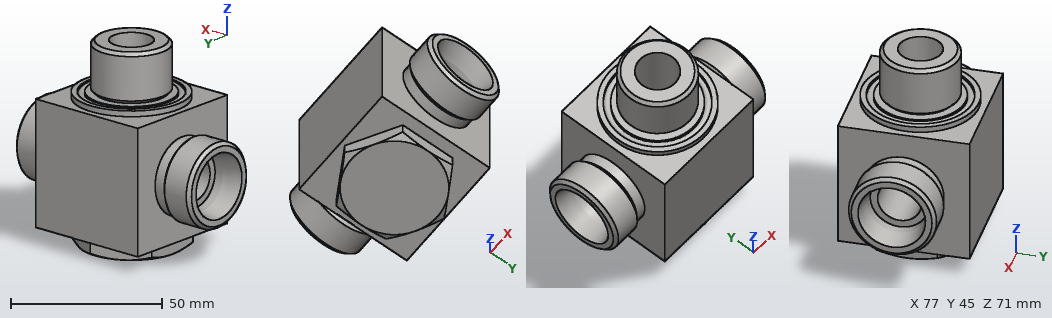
import cadquery as cq
import math

BODY_SIDE = 45.0
BORE_DIAMETER = 15.0

PORT_LENGTH = 16.0
PORT_DIAMETER = 30.0
PORT_NECK_DIAMETER = 27.55
PORT_NECK_LENGTH = 4.0
TUBE_DIAMETER = 20.0
TUBE_SEAT_DEPTH = 10.5
CONE_MOUTH_DIAMETER = 23.0
CONE_HALF_ANGLE = math.radians(12.0)

COLLAR_DIAMETER = 40.0
COLLAR_HEIGHT = 2.0
STUD_DIAMETER = 27.0
STUD_LENGTH = 18.0
THREAD_DEPTH = (PORT_DIAMETER - PORT_NECK_DIAMETER) / 2

SEAL_INNER_DIAMETER = 31.0
SEAL_OUTER_DIAMETER = 36.0

HEX_SIDES = 6
HEX_ACROSS_FLATS = 36.0
HEX_HEIGHT = 6.0
HEX_CHAMFER_ANGLE = math.radians(30.0)

HALF_BODY = BODY_SIDE / 2
COLLAR_TOP = HALF_BODY + COLLAR_HEIGHT
STUD_TOP = COLLAR_TOP + STUD_LENGTH
PORT_END = HALF_BODY + PORT_LENGTH
HEX_BOTTOM = -HALF_BODY - HEX_HEIGHT


def make_port():
    """Solid port sleeve on +X, chamfered at both ends of its thread."""
    thread_radius = PORT_DIAMETER / 2
    neck_radius = PORT_NECK_DIAMETER / 2
    neck_end = HALF_BODY + PORT_NECK_LENGTH
    return (
        cq.Workplane("XY")
        .moveTo(HALF_BODY, 0)
        .lineTo(HALF_BODY, neck_radius)
        .lineTo(neck_end, neck_radius)
        .lineTo(neck_end + THREAD_DEPTH, thread_radius)
        .lineTo(PORT_END - THREAD_DEPTH, thread_radius)
        .lineTo(PORT_END, neck_radius)
        .lineTo(PORT_END, 0)
        .close()
        .revolve(360, (0, 0, 0), (1, 0, 0))
    )


def make_tube_socket():
    """Cutter for the +X port: tapered mouth leading into the tube seat."""
    tube_radius = TUBE_DIAMETER / 2
    mouth_radius = CONE_MOUTH_DIAMETER / 2
    cone_depth = (mouth_radius - tube_radius) / math.tan(CONE_HALF_ANGLE)
    seat = PORT_END - TUBE_SEAT_DEPTH
    return (
        cq.Workplane("XY")
        .moveTo(seat, 0)
        .lineTo(seat, tube_radius)
        .lineTo(PORT_END - cone_depth, tube_radius)
        .lineTo(PORT_END, mouth_radius)
        .lineTo(PORT_END, 0)
        .close()
        .revolve(360, (0, 0, 0), (1, 0, 0))
    )


def make_stud():
    """Collar with the half-round seal in its face, and the chamfered stud."""
    stud_radius = STUD_DIAMETER / 2
    root_radius = stud_radius - THREAD_DEPTH
    seal_inner = SEAL_INNER_DIAMETER / 2
    seal_outer = SEAL_OUTER_DIAMETER / 2
    seal_middle = (seal_inner + seal_outer) / 2
    seal_radius = (seal_outer - seal_inner) / 2
    seal_foot = COLLAR_TOP - seal_radius
    return (
        cq.Workplane("XZ")
        .moveTo(0, HALF_BODY)
        .lineTo(COLLAR_DIAMETER / 2, HALF_BODY)
        .lineTo(COLLAR_DIAMETER / 2, COLLAR_TOP)
        .lineTo(seal_outer, COLLAR_TOP)
        .lineTo(seal_outer, seal_foot)
        .threePointArc((seal_middle, COLLAR_TOP), (seal_inner, seal_foot))
        .lineTo(seal_inner, COLLAR_TOP)
        .lineTo(root_radius, COLLAR_TOP)
        .lineTo(stud_radius, COLLAR_TOP + THREAD_DEPTH)
        .lineTo(stud_radius, STUD_TOP - THREAD_DEPTH)
        .lineTo(root_radius, STUD_TOP)
        .lineTo(0, STUD_TOP)
        .close()
        .revolve(360, (0, 0, 0), (0, 1, 0))
    )


def make_hex_head():
    """Hexagonal head whose lower corners are turned to a 30 degree cone."""
    face_radius = HEX_ACROSS_FLATS / 2
    corner_radius = face_radius / math.cos(math.pi / HEX_SIDES)
    chamfer_height = (corner_radius - face_radius) * math.tan(HEX_CHAMFER_ANGLE)
    prism = (
        cq.Workplane("XY", origin=(0, 0, HEX_BOTTOM))
        .polygon(HEX_SIDES, 2 * corner_radius)
        .extrude(HEX_HEIGHT)
        .rotate((0, 0, 0), (0, 0, 1), 90)
    )
    turned_blank = (
        cq.Workplane("XZ")
        .moveTo(0, HEX_BOTTOM)
        .lineTo(face_radius, HEX_BOTTOM)
        .lineTo(corner_radius, HEX_BOTTOM + chamfer_height)
        .lineTo(corner_radius, -HALF_BODY)
        .lineTo(0, -HALF_BODY)
        .close()
        .revolve(360, (0, 0, 0), (0, 1, 0))
    )
    return prism.intersect(turned_blank)


def mirrored_pair(right_side):
    """The given +X shape together with its copy on -X."""
    return right_side.union(right_side.mirror("YZ"))


body = cq.Workplane("XY").box(BODY_SIDE, BODY_SIDE, BODY_SIDE)
cross_bore = cq.Workplane("YZ").circle(BORE_DIAMETER / 2).extrude(PORT_END, both=True)
stud_bore = cq.Workplane("XY").circle(BORE_DIAMETER / 2).extrude(STUD_TOP)

result = (
    body.union(mirrored_pair(make_port()))
    .union(make_stud())
    .union(make_hex_head())
    .cut(cross_bore)
    .cut(stud_bore)
    .cut(make_tube_socket())
    .cut(make_tube_socket().mirror("YZ"))
)